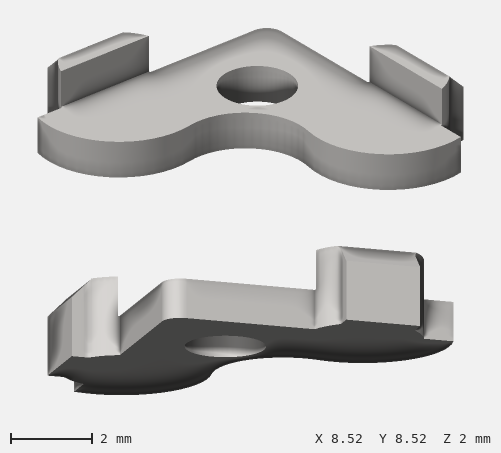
import cadquery as cq
import math

overall_length = 8.52
overall_height = 2.0
plate_thickness = overall_height / 2
corner_radius = 0.48

hole_diameter = 2.0
hole_offset = 2.21

lobe_radius = 2.23
lobe_along = 5.2
lobe_depth = 0.5
inner_center = 4.41

plate_length = lobe_along + lobe_radius
tab_reach = overall_length - plate_length
tab_half_width = 0.95
tab_base_radius = 1.5
tab_fillet_radius = 0.205
tab_chamfer = 0.5
tab_setback = 0.04


def mirrored(point):
    """Reflect a point across the diagonal of the part."""
    x, y = point
    return (-y, -x)


def point_on_circle(center, radius, angle):
    return (center[0] + radius * math.cos(angle), center[1] + radius * math.sin(angle))


def make_plate():
    lobe = (lobe_along, -lobe_depth)
    inner = (inner_center, -inner_center)
    dx = lobe[0] - inner[0]
    dy = lobe[1] - inner[1]
    inner_radius = math.hypot(dx, dy) - lobe_radius

    lobe_end = (lobe_along + math.sqrt(lobe_radius**2 - lobe_depth**2), 0)
    lobe_middle = point_on_circle(lobe, lobe_radius, math.radians(-45))
    tangent = point_on_circle(inner, inner_radius, math.atan2(dy, dx))
    inner_middle = point_on_circle(inner, inner_radius, math.radians(135))

    plate = (
        cq.Workplane("XY")
        .moveTo(0, 0)
        .lineTo(*lobe_end)
        .threePointArc(lobe_middle, tangent)
        .threePointArc(inner_middle, mirrored(tangent))
        .threePointArc(mirrored(lobe_middle), mirrored(lobe_end))
        .close()
        .extrude(plate_thickness)
    )
    outer_corner = cq.selectors.NearestToPointSelector((0, 0, plate_thickness / 2))
    plate = plate.edges(outer_corner).fillet(corner_radius)
    hole = (
        cq.Workplane("XY")
        .center(hole_offset, -hole_offset)
        .circle(hole_diameter / 2)
        .extrude(plate_thickness)
    )
    return plate.cut(hole)


def make_tab():
    """Tab on the +Y edge: a round base blended into a narrower chamfered block."""
    base_half_width = math.sqrt(tab_base_radius**2 - lobe_depth**2)

    fillet_x = tab_half_width + tab_fillet_radius
    center_distance = tab_base_radius + tab_fillet_radius
    fillet_y = math.sqrt(center_distance**2 - fillet_x**2) - lobe_depth
    fillet_angle = math.atan2(fillet_y + lobe_depth, fillet_x)
    base_center = (0, -lobe_depth)
    start_angle = math.atan2(lobe_depth, base_half_width)
    base_middle = point_on_circle(base_center, tab_base_radius, (start_angle + fillet_angle) / 2)
    base_end = point_on_circle(base_center, tab_base_radius, fillet_angle)
    fillet_middle = point_on_circle(
        (fillet_x, fillet_y), tab_fillet_radius, math.pi + fillet_angle / 2
    )

    half_tab = (
        cq.Workplane("XY")
        .moveTo(0, 0)
        .lineTo(base_half_width, 0)
        .threePointArc(base_middle, base_end)
        .threePointArc(fillet_middle, (tab_half_width, fillet_y))
        .lineTo(tab_half_width, tab_reach)
        .lineTo(0, tab_reach)
        .close()
        .extrude(overall_height)
    )
    tab = half_tab.union(half_tab.mirror("YZ"))

    side_profile = (
        cq.Workplane("YZ")
        .polyline([
            (0, 0),
            (tab_reach, 0),
            (tab_reach, overall_height - tab_chamfer),
            (tab_reach - tab_chamfer, overall_height),
            (tab_setback, overall_height),
            (tab_setback, plate_thickness),
            (0, plate_thickness),
        ])
        .close()
        .extrude(base_half_width, both=True)
    )
    return tab.intersect(side_profile).translate((lobe_along, 0, 0))


top_tab = make_tab()
diagonal_face = cq.Face.makePlane(0.085, 0.085, (0, 0, 0), (1, 1, 0))
left_tab = top_tab.mirror(diagonal_face)
result = make_plate().union(top_tab).union(left_tab)